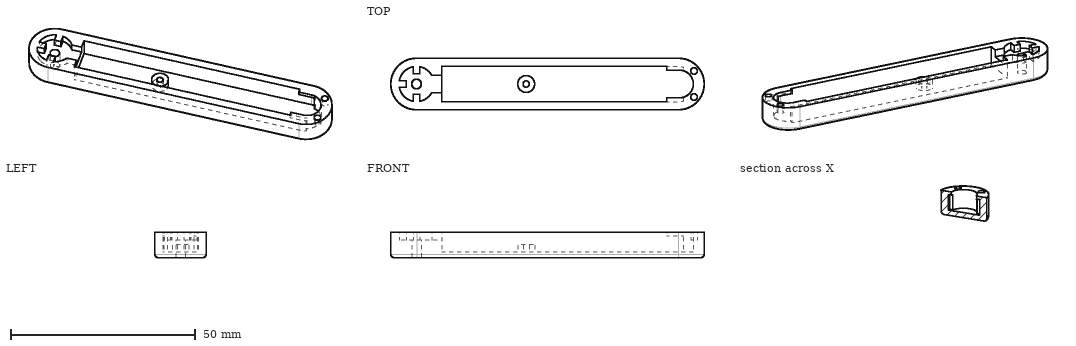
import cadquery as cq

length = 85.0
width = 14.0
height = 7.0
bottom_round = 1.0
end_offset = (length - width) / 2

pocket_start = -28.65
pocket_end = 32.3
pocket_width = 9.5
pocket_depth = 5.35
pocket_floor = height - pocket_depth

nose_width = 7.5
nose_tip = 39.5

undercut_end = 36.7
lip_thickness = 1.0

recess_radius = 4.8
recess_depth = 2.0
channel_width = 4.85
pivot_hole_diameter = 2.55

tab_width = 1.9
tab_inner_radius = 2.7
tab_angles = (90, 180, 270)

boss_x = -5.8
boss_diameter = 4.6
boss_height = 2.0
boss_hole_diameter = 1.7

pin_x = 39.7
pin_spacing = 7.05
pin_diameter = 1.8
pin_depth = 2.0


def box_between(x_start, x_end, y_width, z_bottom, z_top):
    """Box spanning the given X and Z ranges, centred on Y = 0."""
    size_x = x_end - x_start
    box = cq.Workplane("XY").box(size_x, y_width, z_top - z_bottom, centered=(False, True, False))
    return box.translate((x_start, 0, z_bottom))


def cylinder_between(x, y, diameter, z_bottom, z_top):
    """Upright cylinder centred on (x, y)."""
    base = cq.Workplane("XY", origin=(x, y, z_bottom))
    return base.circle(diameter / 2).extrude(z_top - z_bottom)


def make_body():
    bar = cq.Workplane("XY").slot2D(length, width).extrude(height)
    return bar.faces("<Z").edges().fillet(bottom_round)


def make_pocket():
    nose_centre = nose_tip - nose_width / 2
    main = box_between(pocket_start, pocket_end, pocket_width, pocket_floor, height)
    nose = box_between(pocket_end, nose_centre, nose_width, pocket_floor, height)
    tip = cylinder_between(nose_centre, 0, nose_width, pocket_floor, height)
    return main.union(nose).union(tip)


def make_undercut():
    """Full-width cavity following the round of the body's +X end, cut off square at its tip."""
    lip_bottom = height - lip_thickness
    straight = box_between(pocket_end, end_offset, pocket_width, pocket_floor, lip_bottom)
    rounded = cylinder_between(end_offset, 0, pocket_width, pocket_floor, lip_bottom)
    limit = box_between(pocket_end, undercut_end, pocket_width, pocket_floor, lip_bottom)
    return straight.union(rounded).intersect(limit)


def make_pivot_recess():
    floor = height - recess_depth
    recess = cylinder_between(-end_offset, 0, 2 * recess_radius, floor, height)
    for angle in tab_angles:
        tab = box_between(tab_inner_radius, width / 2, tab_width, floor, height)
        tab = tab.rotate((0, 0, 0), (0, 0, 1), angle)
        recess = recess.cut(tab.translate((-end_offset, 0, 0)))
    channel = box_between(-end_offset + tab_inner_radius, pocket_start, channel_width, floor, height)
    return recess.union(channel)


def make_boss():
    return cylinder_between(boss_x, 0, boss_diameter, pocket_floor, pocket_floor + boss_height)


result = make_body().cut(make_pocket()).cut(make_undercut()).cut(make_pivot_recess())
result = result.union(make_boss())
result = result.cut(cylinder_between(-end_offset, 0, pivot_hole_diameter, 0, height))
result = result.cut(cylinder_between(boss_x, 0, boss_hole_diameter, pocket_floor, height))
for side in (-1, 1):
    pin_y = side * pin_spacing / 2
    result = result.cut(cylinder_between(pin_x, pin_y, pin_diameter, height - pin_depth, height))